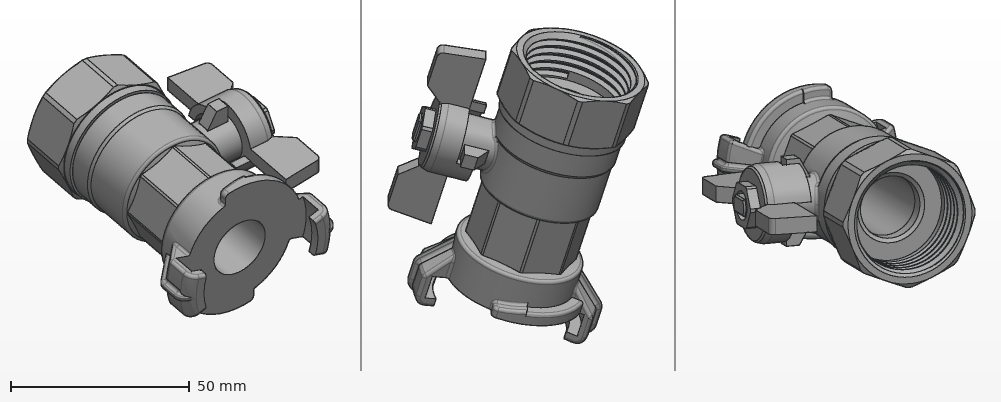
import cadquery as cq
import math


bore_radius = 9.0

cap_octagon_length = 15.9
cap_octagon_radius = 19.9
cap_octagon_apothem = 18.7
cap_chamfer_length = 0.7
cap_length = 18.6
collar_radius = 18.4
thread_depth = 14.1
thread_crest_radius = 15.2
thread_root_radius = 16.5
thread_root_width = 0.3
thread_mouth_radius = 16.8
thread_mouth_length = 1.6
thread_pitch = 2.5
thread_start = 0.2
thread_turns = 5
thread_crest_width = 0.3
thread_overlap = 0.1
seat_chamfer = 1.2
seat_chamfer_length = 0.7

front_barrel_radius = 17.85
front_barrel_chamfer = 0.3
front_barrel_end = 25.9
rear_barrel_radius = 17.3
rear_barrel_start = 26.8
rear_barrel_end = 42.25
rear_barrel_round = 0.9
body_octagon_radius = 16.1
body_octagon_apothem = 15.0
octagon_blend_length = 0.7
drum_start = 60.6
drum_end = 73.0
drum_radius = 18.4
drum_round = 1.0

stem_x = 32.0
boss_radius = 7.2
boss_top = 26.3
boss_fillet = 0.8
stop_width = 4.15
stop_half_span = 12.5
stop_top = 25.15
stop_shoulder = 21.25
stop_foot = 18.1

lug_radius = 22.0
lug_front = 69.3
ramp_high = 68.7
ramp_low = 70.2
ramp_step_y = 4.3
lug_end_y = -5.0
lug_round = 1.0
lug_end_round = 1.7
lug_end_fillet = 0.8

claw_half_angle = 18.4
claw_foot = 65.6
claw_foot_depth = 1.7
claw_outer_radius = 25.8
claw_inner_radius = 23.3
claw_hook_radius = 19.9
claw_hook_thickness = 2.8
claw_shoulder = 73.2
claw_tip = 83.0
claw_corner_round = 3.15
claw_edge_round = 1.0
claw_bend_round = 1.7
claw_foot_fillet = 0.8
claw_slope_angle = math.atan2(claw_outer_radius - drum_radius, claw_shoulder - claw_foot)
rib_height = 1.6
rib_foot_length = 14.9
rib_root_depth = 0.8
rib_width = 1.5
rib_fillet = 1.1
rib_crest_round = 0.4
rib_corner_round = 3.7
rib_tip = 82.7

handle_top = 34.9
hub_radius = 11.3
hub_taper_start = 32.4
hub_taper_end = 34.3
hub_taper_radius = 10.7
hub_top_radius = 10.2
skirt_bottom = 21.3
skirt_inner_radius = 8.55
skirt_gap = stop_width / 2
wing_thickness = 4.65
wing_top = 39.7
wing_bottom_half_span = 27.55
wing_top_half_span = 26.1
wing_inner_top = 14.85
wing_inner_foot = 10.6
wing_corner_round = 1.7

nut_height = 3.1
nut_apothem = 6.1
nut_corner_radius = 6.7
stem_radius = 4.15
stem_flat_width = 5.15
stem_top = 38.8
stem_bottom = 14.9
stem_chamfer = 0.5

tolerance = 0.04


def revolve_about_x(points):
    """Turn a closed (x, radius) outline about the flow axis."""
    return cq.Workplane("XY").polyline(points).close().revolve(360, (0, 0, 0), (1, 0, 0))


def bar_along_x(radius, start, end):
    return cq.Workplane("YZ").workplane(offset=start).circle(radius).extrude(end - start)


def octagon_along_x(apothem, start, end):
    """Octagonal bar with corners on the Y and Z axes."""
    corner_diameter = 2 * apothem / math.cos(math.pi / 8)
    return cq.Workplane("YZ").workplane(offset=start).polygon(8, corner_diameter).extrude(end - start)


def disc_along_y(radius, bottom, top):
    """Round disc on the stem axis."""
    plane = cq.Plane(origin=(stem_x, bottom, 0), xDir=(1, 0, 0), normal=(0, 1, 0))
    return cq.Workplane(plane).circle(radius).extrude(top - bottom)


def box_on_stem_axis(x_size, z_size, bottom, top):
    height = top - bottom
    return cq.Workplane("XY").box(x_size, height, z_size).translate((stem_x, bottom + height / 2, 0))


def add_opposite(shape):
    """Add the copy that lies half a turn away about the flow axis."""
    return shape.union(shape.rotate((0, 0, 0), (1, 0, 0), 180))


def axis_distance(point):
    """Distance of a point from the flow axis."""
    return math.hypot(point.y, point.z)


def lies_on_drum(points):
    return all(abs(axis_distance(p) - drum_radius) < tolerance for p in points)



def make_thread_groove():
    """Helical V groove, slightly deeper than the crest surface on its open side."""
    open_radius = thread_crest_radius - thread_overlap
    half_width = (thread_pitch - thread_crest_width) / 2
    root_half_width = thread_root_width / 2
    helix = cq.Wire.makeHelix(
        thread_pitch,
        thread_turns * thread_pitch,
        thread_crest_radius,
        cq.Vector(thread_start, 0, 0),
        cq.Vector(1, 0, 0),
    )
    start = helix.startPoint()
    radial = cq.Vector(0, start.y, start.z).normalized()
    plane = cq.Plane(
        origin=(thread_start, 0, 0), xDir=radial, normal=radial.cross(cq.Vector(1, 0, 0))
    )
    profile = cq.Workplane(plane).polyline([
        (open_radius, -half_width),
        (thread_root_radius, -root_half_width),
        (thread_root_radius, root_half_width),
        (open_radius, half_width),
    ]).close()
    return profile.sweep(cq.Workplane(helix), isFrenet=True)


def make_cap():
    octagon = octagon_along_x(cap_octagon_apothem, 0, cap_octagon_length).intersect(
        revolve_about_x([
            (0, 0),
            (0, cap_octagon_apothem),
            (cap_chamfer_length, cap_octagon_radius),
            (cap_octagon_length - cap_chamfer_length, cap_octagon_radius),
            (cap_octagon_length, cap_octagon_apothem),
            (cap_octagon_length, 0),
        ])
    )
    collar = bar_along_x(collar_radius, cap_octagon_length / 2, cap_length)
    cavity = revolve_about_x([
        (0, 0),
        (0, thread_mouth_radius),
        (thread_mouth_length, thread_crest_radius),
        (thread_depth, thread_crest_radius),
        (thread_depth, bore_radius + seat_chamfer),
        (thread_depth + seat_chamfer_length, bore_radius),
        (cap_length, bore_radius),
        (cap_length, 0),
    ])
    return octagon.union(collar).cut(cavity).cut(make_thread_groove())



def make_barrel():
    """Turned outline from the cap joint to the start of the octagon."""
    round_x = rear_barrel_end - rear_barrel_round
    end_radius = rear_barrel_radius - rear_barrel_round
    round_offset = rear_barrel_round * math.sqrt(0.5)
    barrel = (
        cq.Workplane("XY")
        .moveTo(cap_length, 0)
        .lineTo(cap_length, front_barrel_radius - front_barrel_chamfer)
        .lineTo(cap_length + front_barrel_chamfer, front_barrel_radius)
        .lineTo(front_barrel_end, front_barrel_radius)
        .lineTo(rear_barrel_start, rear_barrel_radius)
        .lineTo(round_x, rear_barrel_radius)
        .threePointArc((round_x + round_offset, end_radius + round_offset), (rear_barrel_end, end_radius))
        .lineTo(rear_barrel_end + octagon_blend_length, body_octagon_apothem)
        .lineTo(rear_barrel_end + octagon_blend_length, 0)
        .close()
    )
    return barrel.revolve(360, (0, 0, 0), (1, 0, 0))


def make_body_octagon():
    octagon = octagon_along_x(body_octagon_apothem, rear_barrel_end, drum_start)
    return octagon.intersect(bar_along_x(body_octagon_radius, rear_barrel_end, drum_start))


def make_drum():
    """Coupling drum with a rounded edge and a shallow conical back."""
    round_x = drum_start + drum_round
    back_radius = drum_radius - drum_round
    round_offset = drum_round * math.sqrt(0.5)
    drum = (
        cq.Workplane("XY")
        .moveTo(drum_start - octagon_blend_length, 0)
        .lineTo(drum_start - octagon_blend_length, body_octagon_apothem)
        .lineTo(drum_start, back_radius)
        .threePointArc((round_x - round_offset, back_radius + round_offset), (round_x, drum_radius))
        .lineTo(drum_end, drum_radius)
        .lineTo(drum_end, 0)
        .close()
    )
    return drum.revolve(360, (0, 0, 0), (1, 0, 0))


def make_rim_block(outline):
    """Part of a rim flange above the XY plane."""
    slab = cq.Workplane("XY").polyline(outline).close().extrude(lug_radius)
    hollow = bar_along_x(drum_radius - 0.8, ramp_high, drum_end)
    return slab.intersect(bar_along_x(lug_radius, ramp_high, drum_end)).cut(hollow)


def is_rim_edge(edge):
    """True for a lug edge outside the drum, away from the ramp step and the claw end."""
    middle = edge.positionAt(0.5)
    outside = axis_distance(middle) > drum_radius + 0.8
    return outside and abs(middle.y - ramp_step_y) > 0.1 and middle.y < lug_radius - 0.1


def is_round_rim_edge(edge):
    return edge.geomType() == "CIRCLE" and is_rim_edge(edge)


def make_lug():
    """Rim lug with a locking ramp, running from the +Y claw over the +Z side."""
    flange = make_rim_block([
        (drum_end, ramp_step_y),
        (lug_front, ramp_step_y),
        (lug_front, lug_radius),
        (drum_end, lug_radius),
    ])
    flange = flange.faces("<X").edges().filter(is_round_rim_edge).fillet(lug_round)
    ramp = make_rim_block([
        (drum_end, lug_end_y),
        (ramp_low, lug_end_y),
        (ramp_high, ramp_step_y),
        (drum_end, ramp_step_y),
    ])
    ramp = ramp.faces("<Y").edges(">Z").fillet(lug_end_round)
    ramp = ramp.faces("<X").edges().filter(is_rim_edge).fillet(lug_round)
    return flange.union(ramp)


def is_lug_end_foot_edge(edge):
    """True where the end face of either lug meets the drum."""
    points = edge.positions([0, 0.5, 1])
    return lies_on_drum(points) and all(abs(abs(p.y) - abs(lug_end_y)) < tolerance for p in points)


def is_claw_outer_edge(edge):
    """True for the side edges of the slope, back, corner and tip of a claw."""
    middle = edge.positionAt(0.5)
    radius = axis_distance(middle)
    angle = math.degrees(math.atan2(abs(middle.z), middle.y))
    on_side = abs(angle - claw_half_angle) < 0.1
    on_slope = middle.x < drum_end - 0.1 and radius > drum_radius
    on_back = radius > claw_inner_radius + 0.1 and middle.x > drum_end + 0.1
    on_tip = middle.x > claw_tip - 0.1
    return on_side and (on_slope or on_back or on_tip)


def is_claw_bend_edge(edge):
    """True for the edge between the slope and the back of a claw."""
    middle = edge.positionAt(0.5)
    on_back = axis_distance(middle) > claw_outer_radius - tolerance
    return on_back and abs(middle.x - claw_shoulder) < tolerance


def is_claw_foot_edge(edge):
    """True where the slope of either claw rises from the drum."""
    points = edge.positions([0, 0.5, 1])
    side_slope = math.tan(math.radians(claw_half_angle))
    near_claw = all(abs(p.z) < abs(p.y) * side_slope + 0.1 for p in points)
    beside_slope = all(claw_foot - 0.1 < p.x < drum_end - 0.1 for p in points)
    return lies_on_drum(points) and near_claw and beside_slope


def make_claw():
    """Hooked sector on the +Y side, sunk into the drum at its foot."""
    corner_x = claw_tip - claw_corner_round
    corner_radius = claw_outer_radius - claw_corner_round
    corner_offset = claw_corner_round * math.sqrt(0.5)
    hook_back = claw_tip - claw_hook_thickness
    root_radius = drum_radius - claw_foot_depth
    outline = (
        cq.Workplane("XY")
        .moveTo(claw_foot - claw_foot_depth / math.tan(claw_slope_angle), root_radius)
        .lineTo(claw_shoulder, claw_outer_radius)
        .lineTo(corner_x, claw_outer_radius)
        .threePointArc((corner_x + corner_offset, corner_radius + corner_offset), (claw_tip, corner_radius))
        .lineTo(claw_tip, claw_hook_radius)
        .lineTo(hook_back, claw_hook_radius)
        .lineTo(hook_back, claw_inner_radius)
        .lineTo(drum_end, claw_inner_radius)
        .lineTo(drum_end, root_radius)
        .close()
    )
    sector = outline.revolve(2 * claw_half_angle, (0, 0, 0), (1, 0, 0))
    sector = sector.rotate((0, 0, 0), (1, 0, 0), -claw_half_angle)
    sector = sector.edges().filter(is_claw_outer_edge).fillet(claw_edge_round)
    return sector.edges().filter(is_claw_bend_edge).fillet(claw_bend_round)


def make_rib():
    """Central rib with flared flanks, following the slope, back and corner of a claw."""
    crest_y = claw_outer_radius + rib_height
    slope_x = math.cos(claw_slope_angle)
    slope_y = math.sin(claw_slope_angle)
    bend_radius = claw_bend_round + rib_height
    bend_end_x = claw_shoulder + claw_bend_round * math.tan(claw_slope_angle / 2)
    bend_y = crest_y - bend_radius
    bend_start = (bend_end_x - bend_radius * slope_y, bend_y + bend_radius * slope_x)
    bend_middle = (
        bend_end_x - bend_radius * math.sin(claw_slope_angle / 2),
        bend_y + bend_radius * math.cos(claw_slope_angle / 2),
    )
    foot = (bend_start[0] - rib_foot_length * slope_x, bend_start[1] - rib_foot_length * slope_y)
    corner_x = rib_tip - rib_corner_round
    corner_y = crest_y - rib_corner_round
    corner_offset = rib_corner_round * math.sqrt(0.5)
    path = (
        cq.Workplane("XY")
        .moveTo(*foot)
        .lineTo(*bend_start)
        .threePointArc(bend_middle, (bend_end_x, crest_y))
        .lineTo(corner_x, crest_y)
        .threePointArc((corner_x + corner_offset, corner_y + corner_offset), (rib_tip, corner_y))
    )
    half_width = rib_width / 2
    crest_middle = rib_crest_round * (1 - math.sqrt(0.5))
    flare_middle = rib_fillet * (1 - math.sqrt(0.5))
    root_depth = rib_height + rib_root_depth
    section_plane = cq.Plane(origin=(*foot, 0), xDir=(0, 0, -1), normal=(slope_x, slope_y, 0))
    section = (
        cq.Workplane(section_plane)
        .moveTo(-half_width, -rib_crest_round)
        .threePointArc((-half_width + crest_middle, -crest_middle), (-half_width + rib_crest_round, 0))
        .lineTo(half_width - rib_crest_round, 0)
        .threePointArc((half_width - crest_middle, -crest_middle), (half_width, -rib_crest_round))
        .lineTo(half_width, rib_fillet - rib_height)
        .threePointArc(
            (half_width + flare_middle, -rib_height + flare_middle),
            (half_width + rib_fillet, -rib_height),
        )
        .lineTo(half_width + rib_fillet, -root_depth)
        .lineTo(-half_width - rib_fillet, -root_depth)
        .lineTo(-half_width - rib_fillet, -rib_height)
        .threePointArc(
            (-half_width - flare_middle, -rib_height + flare_middle),
            (-half_width, rib_fillet - rib_height),
        )
        .close()
    )
    return section.sweep(path)


def make_coupling():
    """Drum with its two claws, ribs and lugs."""
    coupling = make_drum().union(add_opposite(make_claw()))
    coupling = coupling.edges().filter(is_claw_foot_edge).fillet(claw_foot_fillet)
    coupling = coupling.union(add_opposite(make_rib())).union(add_opposite(make_lug()))
    return coupling.edges().filter(is_lug_end_foot_edge).fillet(lug_end_fillet)


def make_stop():
    """Plate through the boss whose two ends limit the handle to a quarter turn."""
    half_outline = [
        (stop_top, stop_half_span),
        (stop_shoulder, stop_half_span),
        (stop_foot, boss_radius),
    ]
    mirrored = [(y, -z) for y, z in reversed(half_outline)]
    plane = cq.Workplane("YZ").workplane(offset=stem_x - stop_width / 2)
    return plane.polyline(half_outline + mirrored).close().extrude(stop_width)


def is_boss_foot_edge(edge):
    """True where the boss wall meets the barrel."""
    points = edge.positions([0, 0.5, 1])
    on_boss = all(abs(math.hypot(p.x - stem_x, p.z) - boss_radius) < tolerance for p in points)
    return on_boss and 0 < points[1].y < boss_top - 0.8


def make_body():
    barrel = make_barrel().union(disc_along_y(boss_radius, 0, boss_top))
    barrel = barrel.edges().filter(is_boss_foot_edge).fillet(boss_fillet)
    body = barrel.union(make_body_octagon()).union(make_coupling())
    body = body.union(make_stop())
    bore = bar_along_x(bore_radius, cap_length, drum_end)
    stem_hole = disc_along_y(stem_radius, stem_bottom, boss_top)
    return body.cut(bore).cut(stem_hole)



def make_stem_flats(bottom, top):
    """Round bar with two flats facing +Z and -Z."""
    flats = box_on_stem_axis(2 * stem_radius, stem_flat_width, bottom, top)
    return disc_along_y(stem_radius, bottom, top).intersect(flats)


def make_hub():
    outline = [
        (0, boss_top),
        (hub_radius, boss_top),
        (hub_radius, hub_taper_start),
        (hub_taper_radius, hub_taper_end),
        (hub_top_radius, handle_top),
        (0, handle_top),
    ]
    hub = cq.Workplane("XY").polyline(outline).close().revolve(360, (0, 0, 0), (0, 1, 0))
    return hub.translate((stem_x, 0, 0))


def make_skirt():
    """Two opposite quarter rings that run against the rotation stop."""
    ring = disc_along_y(hub_radius, skirt_bottom, boss_top)
    ring = ring.cut(disc_along_y(skirt_inner_radius, skirt_bottom, boss_top))
    quadrant_centre = skirt_gap + hub_radius / 2
    quadrant = box_on_stem_axis(hub_radius, hub_radius, skirt_bottom, boss_top)
    rear_quadrant = quadrant.translate((-quadrant_centre, 0, quadrant_centre))
    front_quadrant = quadrant.translate((quadrant_centre, 0, -quadrant_centre))
    return ring.intersect(rear_quadrant.union(front_quadrant))


def make_wings():
    half_outline = [
        (wing_bottom_half_span, boss_top),
        (wing_top_half_span, wing_top),
        (wing_inner_top, wing_top),
        (wing_inner_foot, handle_top),
        (0, handle_top),
        (0, boss_top),
    ]
    wing = cq.Workplane("XY").workplane(offset=-wing_thickness / 2).polyline(half_outline).close()
    wing = wing.extrude(wing_thickness).faces(">Y").edges(">X").fillet(wing_corner_round)
    return wing.union(wing.mirror("YZ")).translate((stem_x, 0, 0))


def make_handle():
    handle = make_hub().union(make_wings()).union(make_skirt())
    return handle.cut(make_stem_flats(boss_top, handle_top))


def make_nut():
    """Hex nut with its corners turned down and a plain round hole."""
    nut_top = handle_top + nut_height
    plane = cq.Plane(origin=(stem_x, handle_top, 0), xDir=(1, 0, 0), normal=(0, 1, 0))
    hexagon = cq.Workplane(plane).polygon(6, 2 * nut_apothem / math.cos(math.pi / 6)).extrude(nut_height)
    nut = hexagon.intersect(disc_along_y(nut_corner_radius, handle_top, nut_top))
    return nut.cut(disc_along_y(stem_radius, handle_top, nut_top))


def make_stem():
    shank = disc_along_y(stem_radius, stem_bottom, boss_top)
    flats = make_stem_flats(boss_top, stem_top).faces(">Y").edges().chamfer(stem_chamfer)
    return shank.union(flats)


cap = make_cap()
body = make_body()
handle = make_handle()
nut = make_nut()
stem = make_stem()

result = cq.Compound.makeCompound([cap.val(), body.val(), handle.val(), nut.val(), stem.val()])